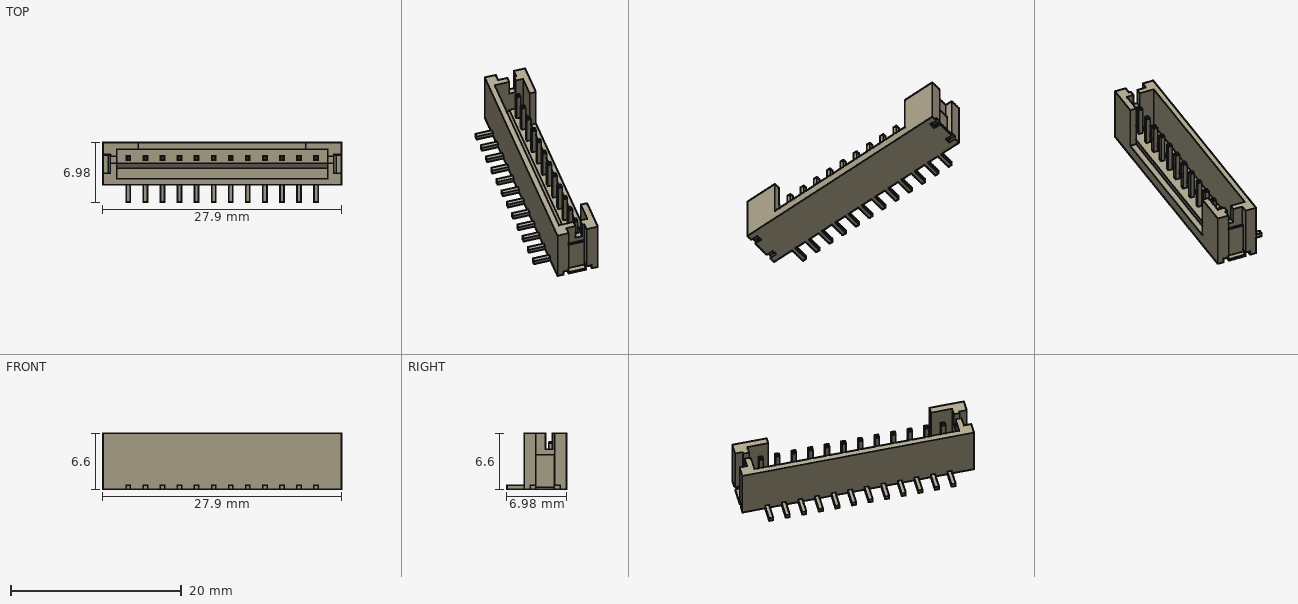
import cadquery as cq

length = 27.95
depth = 4.98
height = 6.6
front_y = -depth / 2
back_y = depth / 2

end_wall = 1.62
back_wall = 0.78
front_wall = 0.7
upper_floor_z = 2.0
floor_drop = 0.6
lower_floor_z = upper_floor_z - floor_drop
cavity_back_y = back_y - back_wall
cavity_front_y = front_y + front_wall
cavity_length = length - 2 * end_wall

window_length = 19.62

recess_depth = 0.9
recess_back_y = back_y - 1.4
recess_front_y = back_y - 3.6
foot_notch_back_y = back_y - 0.75
foot_notch_front_y = back_y - 4.22
foot_notch_height = 0.5

slot_back_y = back_y - 1.65
slot_front_y = back_y - 2.45
slot_depth = 1.9

tab_thickness = 0.25
tab_height = 4.02
tab_clearance = 0.05

contact_count = 12
contact_row = 22.0
contact_pitch = contact_row / (contact_count - 1)
contact_width = 0.5
contact_y = back_y - 1.85
contact_top_z = 5.6
tip_height = 0.17
tip_width = 0.28
tail_length = 2.0


def block(x_range, y_range, z_range):
    """Box spanning the given (low, high) limits."""
    corner = (x_range[0], y_range[0], z_range[0])
    size = [high - low for low, high in (x_range, y_range, z_range)]
    return cq.Workplane("XY").box(*size, centered=False).translate(corner)


def make_cavity():
    """Cavity with a 45 degree slope from the upper floor to the lower one."""
    slope_top_y = slot_front_y
    return (
        cq.Workplane("YZ")
        .moveTo(cavity_back_y, height)
        .lineTo(cavity_back_y, upper_floor_z)
        .lineTo(slope_top_y, upper_floor_z)
        .lineTo(slope_top_y - floor_drop, lower_floor_z)
        .lineTo(cavity_front_y, lower_floor_z)
        .lineTo(cavity_front_y, height)
        .close()
        .extrude(cavity_length / 2, both=True)
    )


def make_window():
    """Opening in the back wall, down to the level of the lower floor."""
    half_length = window_length / 2
    return block((-half_length, half_length), (cavity_back_y, back_y), (lower_floor_z, height))


def make_end_cuts():
    """Recess, foot notch and slot of the -X end."""
    outer_x = -length / 2
    recess_x = outer_x + recess_depth
    cavity_x = outer_x + end_wall
    recess = block((outer_x, recess_x), (recess_front_y, recess_back_y), (0, height))
    notch = block((outer_x, recess_x), (foot_notch_front_y, foot_notch_back_y), (0, foot_notch_height))
    slot = block((outer_x, cavity_x), (slot_front_y, slot_back_y), (height - slot_depth, height))
    return recess.union(notch).union(slot)


def make_solder_tab():
    """Upright plate against the recess of the -X end, with a foot reaching the end face."""
    outer_x = -length / 2
    inner_x = outer_x + recess_depth
    y_range = (recess_front_y, recess_back_y - tab_clearance)
    plate = block((inner_x - tab_thickness, inner_x), y_range, (0, tab_height))
    foot = block((outer_x, inner_x), y_range, (0, tab_thickness))
    return plate.union(foot)


def make_contact(x):
    """Upright pin with a tapered tip, joined to a tail that leaves through the front."""
    shoulder_z = contact_top_z - tip_height
    x_range = (x - contact_width / 2, x + contact_width / 2)
    pin_back_y = contact_y + contact_width / 2
    pin = block(x_range, (pin_back_y - contact_width, pin_back_y), (0, shoulder_z))
    tip = (
        cq.Workplane("XY", origin=(x, contact_y, shoulder_z))
        .rect(contact_width, contact_width)
        .workplane(offset=tip_height)
        .rect(tip_width, tip_width)
        .loft(ruled=True)
    )
    tail = block(x_range, (front_y - tail_length, pin_back_y), (0, contact_width))
    return pin.union(tip).union(tail)


housing = block((-length / 2, length / 2), (front_y, back_y), (0, height))
housing = housing.cut(make_cavity()).cut(make_window())

end_cuts = make_end_cuts()
solder_tab = make_solder_tab()
result = housing.cut(end_cuts).cut(end_cuts.mirror("YZ"))
result = result.union(solder_tab).union(solder_tab.mirror("YZ"))

for index in range(contact_count):
    result = result.union(make_contact(index * contact_pitch - contact_row / 2))